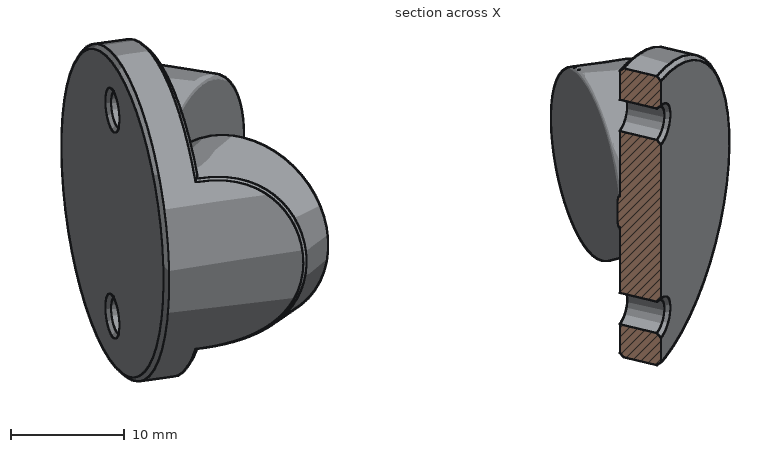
import cadquery as cq
import math

base_diameter = 30.0
base_thickness = 4.0
base_chamfer = 0.4

hole_diameter = 3.2
hole_spacing = 20.0
countersink_diameter = 4.0

arm_tilt = math.radians(45.0)
arm_taper = math.radians(3.0)
arm_face_radius = 8.75
arm_face_fillet = 0.5
arm_length = 24.0
arm_wall_chamfer = 0.2
valley_height = 4.25
valley_to_face_center = 8.28


def y_cylinder(diameter, length):
    """Cylinder on the Y axis from Y = 0 towards +Y, with its seam at the +Z side."""
    plane = cq.Plane(origin=(0, 0, 0), xDir=(0, 0, 1), normal=(0, 1, 0))
    return cq.Workplane(plane).circle(diameter / 2).extrude(length)


def make_plate():
    """Round plate with both rims chamfered."""
    return y_cylinder(base_diameter, base_thickness).edges("%CIRCLE").chamfer(base_chamfer)


def make_cone():
    """Cone on the +X wall of the V, narrowing from its filleted face down and outwards."""
    face_center = cq.Vector(
        valley_to_face_center * math.cos(arm_tilt),
        valley_height + valley_to_face_center * math.sin(arm_tilt),
        0,
    )
    into_arm = cq.Vector(math.sin(arm_tilt), -math.cos(arm_tilt), 0)
    end_radius = arm_face_radius - arm_length * math.tan(arm_taper)
    cone = cq.Solid.makeCone(arm_face_radius, end_radius, arm_length, face_center, into_arm)
    v_face = cq.selectors.DirectionMinMaxSelector(into_arm, False)
    return cq.Workplane(cone).faces(v_face).edges().fillet(arm_face_fillet)


def make_arm():
    """Cone trimmed to the plate's outline and starting above the chamfer of its front rim."""
    outline = y_cylinder(base_diameter, base_diameter).translate((0, base_chamfer, 0))
    arm = make_cone().intersect(outline)
    return arm.faces("%CYLINDER").edges("%BSPLINE").chamfer(arm_wall_chamfer)


def make_screw_hole():
    """Cutter for a through hole along Y, countersunk at the front of the plate."""
    radius = hole_diameter / 2
    sink_radius = countersink_diameter / 2
    sink_depth = sink_radius - radius
    return (
        cq.Workplane("XY")
        .lineTo(sink_radius, 0)
        .lineTo(radius, sink_depth)
        .lineTo(radius, base_thickness)
        .lineTo(0, base_thickness)
        .close()
        .revolve(360, (0, 0, 0), (0, 1, 0))
    )


arm = make_arm()
result = make_plate().union(arm).union(arm.mirror("YZ"))
for hole_z in (-hole_spacing / 2, hole_spacing / 2):
    result = result.cut(make_screw_hole().translate((0, 0, hole_z)))